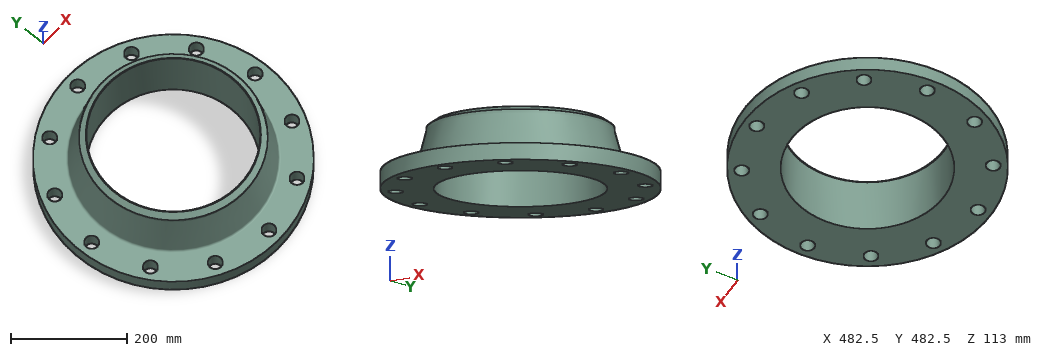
import cadquery as cq
import math

flange_diameter = 482.5
flange_thickness = 29.5

bolt_circle_diameter = 432.0
bolt_hole_diameter = 25.5
bolt_hole_count = 12

total_height = 113.0
bore_diameter = 298.0
neck_diameter = 324.0
hub_base_diameter = 363.5
neck_straight_length = 6.0

weld_land_width = 1.5
weld_bevel_height = 7.5

root_fillet_radius = 4.5

bore_radius = bore_diameter / 2
neck_radius = neck_diameter / 2
hub_base_radius = hub_base_diameter / 2
neck_top = total_height - weld_bevel_height
taper_top = neck_top - neck_straight_length


def make_root_fillet_points():
    """Return start, middle and end (radius, height) of the arc tangent to flange and hub taper."""
    taper_run = hub_base_radius - neck_radius
    taper_rise = taper_top - flange_thickness
    taper_slope = math.atan2(taper_rise, taper_run)
    tangent_length = root_fillet_radius * math.tan(taper_slope / 2)
    center_radius = hub_base_radius + tangent_length
    center_height = flange_thickness + root_fillet_radius

    def arc_point(angle):
        return (
            center_radius - root_fillet_radius * math.sin(angle),
            center_height - root_fillet_radius * math.cos(angle),
        )

    return arc_point(0), arc_point(taper_slope / 2), arc_point(taper_slope)


def make_body():
    """Revolve the flange, tapered hub and bevelled neck around the bore axis."""
    flange_radius = flange_diameter / 2
    fillet_start, fillet_middle, fillet_end = make_root_fillet_points()
    return (
        cq.Workplane("XZ")
        .moveTo(bore_radius, 0)
        .lineTo(flange_radius, 0)
        .lineTo(flange_radius, flange_thickness)
        .lineTo(*fillet_start)
        .threePointArc(fillet_middle, fillet_end)
        .lineTo(neck_radius, taper_top)
        .lineTo(neck_radius, neck_top)
        .lineTo(bore_radius + weld_land_width, total_height)
        .lineTo(bore_radius, total_height)
        .close()
        .revolve(360, (0, 0, 0), (0, 1, 0))
    )


def make_bolt_holes():
    """Cylinders through the flange, evenly spaced with the first one on +X."""
    return (
        cq.Workplane("XY")
        .polarArray(bolt_circle_diameter / 2, 0, 360, bolt_hole_count)
        .circle(bolt_hole_diameter / 2)
        .extrude(flange_thickness)
    )


result = make_body().cut(make_bolt_holes())